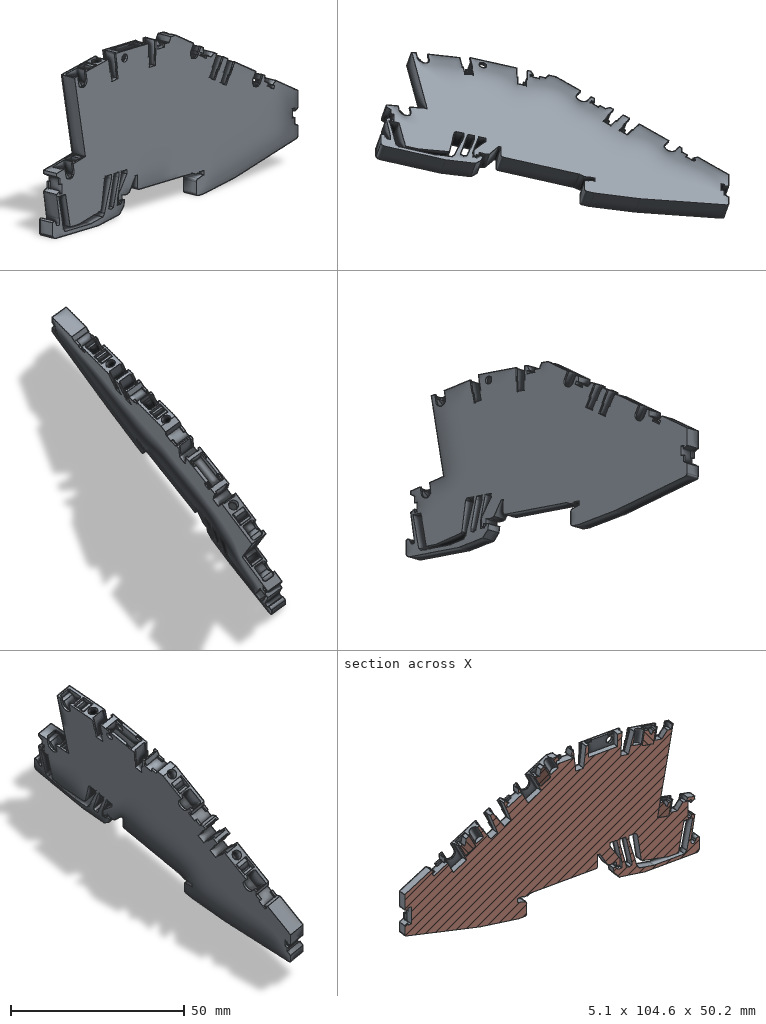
import cadquery as cq
import math

WIDTH = 5.1
LENGTH = 104.6
HEIGHT = 50.2
CUT_MARGIN = 1.0

BACK_TILT = 28.0
TOP_TILT = 0.0
FRONT_TILT = -10.0
BACK_NOSE_TILT = 90.0
FRONT_NOSE_TILT = -90.0

BACK_NOSE_TOP = 22.6
UPPER_FRONT_CORNER = (9.3, 46.5)
STEP_CORNER = (13.9, 22.0)
RIDGE_Y = LENGTH - (HEIGHT - BACK_NOSE_TOP) / math.tan(math.radians(BACK_TILT))

SLOT_DEPTH = 7.2
SLOT_STEP_DEPTH = 4.1
SLOT_TOP_WIDTH = 3.2
SLOT_STEP_WIDTH = 3.1
SLOT_FLOOR_WIDTH = 2.6
SLOT_MOUTH_WIDTH = 4.3
SIDE_WALL = 0.6
BACK_SLOT_YS = (76.2, 71.4)
TOP_SLOT_Y = 42.6
FRONT_SLOT_Y = 25.4

RECESS_LENGTH = 5.3
RECESS_FLOOR = 3.8
RECESS_DEPTH = 1.6
POCKET_LENGTH = 5.6
POCKET_DEPTH = 2.5
BACK_RECESS_YS = (92.9, 66.6)
TOP_RECESS_Y = 47.8
NOSE_RECESS_DEPTH = 1.4
BACK_NOSE_RECESS_Z = 14.7
FRONT_NOSE_Y = 1.8
FRONT_NOSE_RECESS_Z = 15.8

BACK_HOLE_YS = (80.1, 53.6)
FRONT_HOLE_Y = 21.4
CLAMP_OFFSET = 4.0
FUNNEL_OFFSET = 9.1
LOWER_FUNNEL_Y = 7.0
HOLE_DIAMETER = 2.8
HOLE_DEPTH = 4.6
HOLE_X = WIDTH / 2
FUNNEL_LENGTH = 5.2
FUNNEL_X = (0.9, 4.5)
BACK_FUNNEL_DEPTH = 6.8
FRONT_FUNNEL_DEPTH = 4.2
FRONT_SHELF_DEPTH = 1.6
FUNNEL_CORNER_RADIUS = 0.5
FUNNEL_FLOOR_LENGTH = 2.3
FUNNEL_SHELF_LENGTH = 1.4
WIRE_NOTCH_RADIUS = 1.8
WIRE_NOTCH_DEPTH = 4.2

CLAMP_LENGTH = 3.9
CLAMP_POCKET_X = (0.6, 4.5)
CLAMP_X = (0.9, 4.5)
CLAMP_DEPTH = 5.2
CLAMP_TOP_DEPTH = 0.3
CLAMP_TONGUE_DEPTH = 0.8
CLAMP_GROOVE_DEPTH = 2.1
CLAMP_TOP_END = -0.7
CLAMP_GROOVE_AT = 0.7
CLAMP_TONGUE_START = 1.2

WINDOW_Y = (29.2, 39.3)
WINDOW_X = (0.9, 4.3)
WINDOW_DEPTH = 4.2
REBATE_X = (0.4, 4.7)
REBATE_LENGTH = 2.1
REBATE_DEPTH = 0.6
CROSS_HOLE = (30.7, 48.0)
CROSS_HOLE_DIAMETER = 2.3

FOOT_HOOK_TOP = 5.3
FOOT_HOOK_ARC_Z = 4.6

SKIN = 0.3
SET_BACK = 0.1


def prism(points, x_range):
    """Extrude a closed (Y, Z) outline between two X positions."""
    start, end = x_range
    return cq.Workplane("YZ", origin=(start, 0, 0)).polyline(points).close().extrude(end - start)


def through(points):
    """Prism through the whole thickness."""
    return prism(points, (0, WIDTH))


def deck_height(y, tilt, anchor):
    """Z of a tilted deck line that passes through the anchor point."""
    return anchor[1] - (y - anchor[0]) * math.tan(math.radians(tilt))


def back_deck(y):
    return y, deck_height(y, BACK_TILT, (LENGTH, BACK_NOSE_TOP)), BACK_TILT


def front_deck(y):
    return y, deck_height(y, FRONT_TILT, UPPER_FRONT_CORNER), FRONT_TILT


def lower_deck(y):
    return y, deck_height(y, FRONT_TILT, STEP_CORNER), FRONT_TILT


def on_deck(seat, points):
    """Turn (along, height) points of a deck seat into (Y, Z) points."""
    y, z, tilt = seat
    c = math.cos(math.radians(tilt))
    s = math.sin(math.radians(tilt))
    return [(y + along * c + height * s, z - along * s + height * c) for along, height in points]


def shifted(seat, along):
    """Seat moved along its own deck."""
    (y, z), = on_deck(seat, [(along, 0)])
    return y, z, seat[2]


def deck_plane(seat):
    """Plane on the deck with local x along X and local y along the deck towards +Y."""
    y, z, tilt = seat
    normal = (0, math.sin(math.radians(tilt)), math.cos(math.radians(tilt)))
    return cq.Plane(origin=(0, y, z), xDir=(1, 0, 0), normal=normal)


def deck_box(seat, length, depth, x_range):
    """Box cutter sunk into a deck and centred on the seat."""
    half = length / 2
    corners = [(-half, -depth), (half, -depth), (half, CUT_MARGIN), (-half, CUT_MARGIN)]
    return prism(on_deck(seat, corners), x_range)


def base_plate():
    """Side outline, drawn from the underside of the rail foot round to its latch."""
    front = [
        (1.8, 12.8), (FRONT_NOSE_Y, 13.4), (FRONT_NOSE_Y, 19.5), STEP_CORNER, UPPER_FRONT_CORNER,
        front_deck(FRONT_SLOT_Y)[:2], (FRONT_SLOT_Y, HEIGHT), (RIDGE_Y, HEIGHT),
        (LENGTH, BACK_NOSE_TOP), (LENGTH, 9.1),
    ]
    back_hook_throat = [(64.4, 5.8), (64.4, 7.0), (62.9, 7.0), (62.2, 6.7), (61.1, 6.7), (59.7, 7.2)]
    rail_notch = [(36.2, 11.7), (35.5, 11.7), (32.7, 7.2), (31.5, 6.8), (29.7, 7.0), (29.7, 5.4)]
    foot_tip = [(30.7, 5.4), (30.4, 3.7), (28.5, 1.5), (19.6, 0)]
    return (
        cq.Workplane("YZ").moveTo(*foot_tip[-1])
        .lineTo(1.4, 0).threePointArc((0.4, 0.4), (0, 1.4))
        .lineTo(0, FOOT_HOOK_ARC_Z).threePointArc((0.7, FOOT_HOOK_TOP), (1.5, FOOT_HOOK_ARC_Z))
        .lineTo(1.8, 4.2).threePointArc((2.4, 3.7), (3.0, 4.2))
        .lineTo(2.9, 5.6).polyline(front, includeCurrent=True)
        .threePointArc((104.4, 8.6), (103.8, 8.3)).lineTo(77.8, 2.1).lineTo(64.2, 0)
        .lineTo(62.0, 0).threePointArc((61.5, 0.2), (61.3, 0.7))
        .lineTo(61.3, 4.3).threePointArc((61.5, 4.8), (62.0, 5.1))
        .polyline(back_hook_throat, includeCurrent=True)
        .lineTo(36.9, 7.2).threePointArc((36.4, 7.4), (36.2, 8.0))
        .polyline(rail_notch + foot_tip[:-1], includeCurrent=True)
        .close().extrude(WIDTH)
    )


def foot_springs():
    """Openings that leave the spring legs of the rail foot."""
    latch_gap = through([
        (31.7, 14.2), (29.5, 14.2), (28.2, 8.8), (27.7, 6.5), (27.7, 4.4), (29.0, 4.4), (29.6, 5.0),
        (29.6, 5.4), (30.9, 5.4), (30.9, 5.6), (28.8, 5.6), (28.8, 4.9), (28.1, 4.9), (28.1, 7.6),
        (31.7, 13.0),
    ])
    middle_gap = through([
        (28.2, 14.2), (26.4, 14.2), (26.0, 13.4), (24.2, 4.9), (24.2, 4.1), (25.0, 3.8),
        (25.9, 4.2), (28.2, 12.8),
    ])
    front_gap = through([
        (25.1, 14.2), (22.7, 14.2), (22.2, 13.6), (20.8, 4.5), (20.3, 4.1), (11.2, 2.2), (7.5, 2.2),
        (5.6, 11.9), (5.4, 12.3), (2.6, 12.3), (4.7, 2.1), (5.5, 1.3), (16.3, 1.3), (21.4, 2.2),
        (22.2, 3.1), (25.1, 13.0),
    ])
    return [latch_gap, middle_gap, front_gap]


def slot_cutters(seat):
    """Stepped through slot and the wider mouth between its side walls."""
    top, step, floor = SLOT_TOP_WIDTH / 2, SLOT_STEP_WIDTH / 2, SLOT_FLOOR_WIDTH / 2
    right = [
        (floor, -SLOT_DEPTH), (floor, -SLOT_STEP_DEPTH), (step, -SLOT_STEP_DEPTH),
        (top, 0), (top, CUT_MARGIN),
    ]
    left = [(-along, height) for along, height in reversed(right)]
    mouth_half = SLOT_MOUTH_WIDTH / 2
    mouth = [
        (floor, -SLOT_DEPTH), (mouth_half, 0), (mouth_half, CUT_MARGIN),
        (-mouth_half, CUT_MARGIN), (-mouth_half, 0), (-floor, -SLOT_DEPTH),
    ]
    return [
        through(on_deck(seat, right + left)),
        prism(on_deck(seat, mouth), (SIDE_WALL, WIDTH - SIDE_WALL)),
    ]


def recess_cutters(seat, depth, open_end):
    """Trapezoid recess; its pocket opens on -X in the half at open_end and on +X in the other."""
    top, floor = RECESS_LENGTH / 2, RECESS_FLOOR / 2
    flare = (top - floor) / depth * CUT_MARGIN
    outline = [(-top - flare, CUT_MARGIN), (-floor, -depth), (floor, -depth), (top + flare, CUT_MARGIN)]
    half = POCKET_LENGTH / 2
    pocket_floor = depth + POCKET_DEPTH - RECESS_DEPTH
    cutters = [through(on_deck(seat, outline))]
    for end, x_range in ((open_end, (0, WIDTH - SIDE_WALL)), (-open_end, (SIDE_WALL, WIDTH))):
        pocket = [(0, -pocket_floor), (end * half, -pocket_floor), (end * half, -depth), (0, -depth)]
        cutters.append(prism(on_deck(seat, pocket), x_range))
    return cutters


def test_hole(seat):
    depth = HOLE_DEPTH + CUT_MARGIN
    plane = cq.Workplane(deck_plane(seat)).workplane(offset=CUT_MARGIN)
    return plane.center(HOLE_X, 0).circle(HOLE_DIAMETER / 2).extrude(-depth)


def funnel_cutters(seat, outward):
    """Wire funnel with a notch through the +X wall; front funnels step up to an outer shelf."""
    if outward > 0:
        floor_depth, shelf_depth = BACK_FUNNEL_DEPTH, BACK_FUNNEL_DEPTH
    else:
        floor_depth, shelf_depth = FRONT_FUNNEL_DEPTH, FRONT_SHELF_DEPTH
    half = FUNNEL_LENGTH / 2
    shelf_start = half - FUNNEL_SHELF_LENGTH
    floor_end = FUNNEL_FLOOR_LENGTH - half
    outline = [
        (-half, CUT_MARGIN), (-half, -floor_depth), (floor_end, -floor_depth),
        (shelf_start, -shelf_depth), (half, -shelf_depth), (half, CUT_MARGIN),
    ]
    side_cut = prism(on_deck(seat, [(outward * a, h) for a, h in outline]), FUNNEL_X)
    width = FUNNEL_X[1] - FUNNEL_X[0]
    rounded = (
        cq.Workplane(deck_plane(seat)).workplane(offset=CUT_MARGIN)
        .center(sum(FUNNEL_X) / 2, 0).rect(width, FUNNEL_LENGTH)
        .extrude(-floor_depth - CUT_MARGIN)
        .edges(cq.selectors.ParallelDirSelector(deck_plane(seat).zDir)).fillet(FUNNEL_CORNER_RADIUS)
    )
    radius = WIRE_NOTCH_RADIUS
    arc_height = radius - WIRE_NOTCH_DEPTH
    left, right, bottom, left_top, right_top = on_deck(seat, [
        (-radius, arc_height), (radius, arc_height), (0, -WIRE_NOTCH_DEPTH),
        (-radius, CUT_MARGIN), (radius, CUT_MARGIN),
    ])
    notch_start = FUNNEL_X[1]
    notch = (
        cq.Workplane("YZ", origin=(notch_start, 0, 0)).moveTo(*left_top).lineTo(*left)
        .threePointArc(bottom, right).lineTo(*right_top).close().extrude(WIDTH - notch_start)
    )
    return [side_cut.intersect(rounded), notch]


def clamp_pocket(seat):
    return deck_box(seat, CLAMP_LENGTH, CLAMP_DEPTH, CLAMP_POCKET_X)


def window_cutters():
    """Window in the top deck, its shallow end rebates and the cross hole through its walls."""
    start, end = WINDOW_Y
    opening = deck_box(((start + end) / 2, HEIGHT, TOP_TILT), end - start, WINDOW_DEPTH, WINDOW_X)
    cross_hole = cq.Workplane("YZ").center(*CROSS_HOLE).circle(CROSS_HOLE_DIAMETER / 2).extrude(WIDTH)
    rebates = [
        deck_box((y, HEIGHT, TOP_TILT), REBATE_LENGTH, REBATE_DEPTH, REBATE_X)
        for y in (start + REBATE_LENGTH / 2, end - REBATE_LENGTH / 2)
    ]
    return [opening, cross_hole, *rebates]


def front_set_backs():
    """Thin layers taken off the front faces beyond the -X skin."""
    cutters = []
    for low, high in (((0, 0), (0, FOOT_HOOK_TOP)), (STEP_CORNER, UPPER_FRONT_CORNER)):
        layer = [
            (low[0] - SET_BACK, low[1]), (low[0] + SET_BACK, low[1]),
            (high[0] + SET_BACK, high[1]), (high[0] - SET_BACK, high[1]),
        ]
        cutters.append(prism(layer, (SKIN, WIDTH)))
    return cutters


def housing(hole_seats, clamp_seats, funnel_seats):
    cutters = foot_springs() + window_cutters() + front_set_backs()
    slot_seats = [back_deck(y) for y in BACK_SLOT_YS]
    slot_seats += [(TOP_SLOT_Y, HEIGHT, TOP_TILT), front_deck(FRONT_SLOT_Y)]
    for seat in slot_seats:
        cutters += slot_cutters(seat)

    lower_back, upper_back = [back_deck(y) for y in BACK_RECESS_YS]
    cutters += recess_cutters(lower_back, RECESS_DEPTH, -1)
    cutters += recess_cutters(upper_back, RECESS_DEPTH, 1)
    cutters += recess_cutters((TOP_RECESS_Y, HEIGHT, TOP_TILT), RECESS_DEPTH, 1)
    cutters += recess_cutters((LENGTH, BACK_NOSE_RECESS_Z, BACK_NOSE_TILT), NOSE_RECESS_DEPTH, 1)
    cutters += recess_cutters((FRONT_NOSE_Y, FRONT_NOSE_RECESS_Z, FRONT_NOSE_TILT), NOSE_RECESS_DEPTH, 1)

    for seat in hole_seats:
        cutters.append(test_hole(seat))
    for seat in clamp_seats:
        cutters.append(clamp_pocket(seat))
    for seat, outward in funnel_seats:
        cutters += funnel_cutters(seat, outward)

    body = base_plate()
    for cutter in cutters:
        body = body.cut(cutter)
    return body


def clamp(seat, outward):
    """Clamp block that stands in its pocket with a narrow gap on -X, and a V groove across its top."""
    half = CLAMP_LENGTH / 2
    outline = [
        (-half, -CLAMP_DEPTH), (half, -CLAMP_DEPTH), (half, -CLAMP_TONGUE_DEPTH),
        (CLAMP_TONGUE_START, -CLAMP_TONGUE_DEPTH), (CLAMP_GROOVE_AT, -CLAMP_GROOVE_DEPTH),
        (CLAMP_TOP_END, -CLAMP_TOP_DEPTH), (-half, -CLAMP_TOP_DEPTH),
    ]
    return prism(on_deck(seat, [(outward * a, h) for a, h in outline]), CLAMP_X)


entries = [(back_deck(y), 1) for y in BACK_HOLE_YS] + [(front_deck(FRONT_HOLE_Y), -1)]
lower_funnel = lower_deck(LOWER_FUNNEL_Y)
lower_clamp = shifted(lower_funnel, FUNNEL_OFFSET - CLAMP_OFFSET)

hole_seats = [seat for seat, outward in entries]
clamp_places = [(shifted(seat, outward * CLAMP_OFFSET), outward) for seat, outward in entries]
clamp_places.append((lower_clamp, -1))
funnel_places = [(shifted(seat, outward * FUNNEL_OFFSET), outward) for seat, outward in entries]
funnel_places.append((lower_funnel, -1))

terminal_housing = housing(hole_seats, [seat for seat, outward in clamp_places], funnel_places)
clamps = [clamp(seat, outward) for seat, outward in clamp_places]

result = cq.Compound.makeCompound([terminal_housing.val(), *[body.val() for body in clamps]])